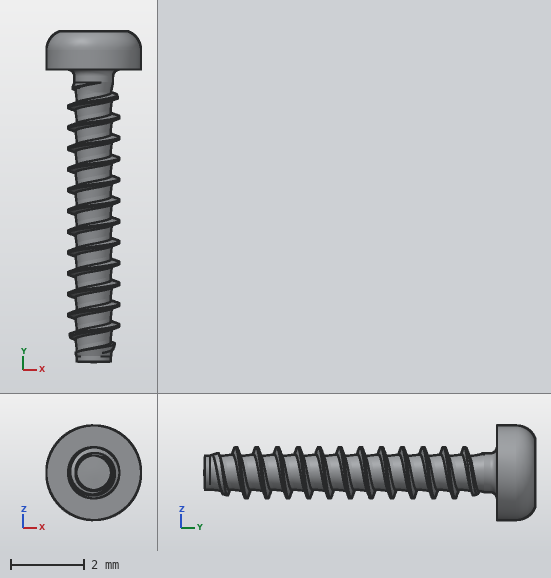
import cadquery as cq
import math


total_length = 9.05

head_radius = 1.299
head_height = 1.05
head_dome_height = 0.525
head_dome_radius = 0.56
rim_rounding = 0.02

neck_radius = 0.53
neck_end = -0.34
neck_fillet = 0.18
core_radius = 0.47
core_start = -0.63
tip_cone_height = 0.02

crest_radius = 0.701
crest_half_width = 0.023
flank_half_width = 0.1
root_radius = 0.502
valley_offset = 0.34
valley_overrun = 0.045
buried_radius = 0.41
runout_radius = 0.52
thread_start = -0.31
thread_end = -7.7
turns = 13
buried_turns = 0.5

tip = head_height - total_length
tip_rim = tip + tip_cone_height
pitch = (thread_start - thread_end) / turns


def revolve_about_axis(outline):
    """Solid of revolution about the screw axis from a closed outline in the XZ plane."""
    return outline.revolve(360, (0, 0, 0), (0, 1, 0))


def make_head_and_neck():
    """Domed head with the filleted neck that tapers down to the core."""
    dome_bottom = head_height - head_dome_height
    dome_half_chord = math.sqrt(head_dome_radius**2 - head_dome_height**2)
    top_radius = head_radius - head_dome_radius + dome_half_chord
    outline = (
        cq.Workplane("XZ")
        .moveTo(0, head_height)
        .lineTo(top_radius, head_height)
        .radiusArc((head_radius, dome_bottom), head_dome_radius)
        .lineTo(head_radius, rim_rounding)
        .radiusArc((head_radius - rim_rounding, 0), rim_rounding)
        .lineTo(neck_radius + neck_fillet, 0)
        .radiusArc((neck_radius, -neck_fillet), -neck_fillet)
        .lineTo(neck_radius, neck_end)
        .lineTo(core_radius, core_start)
        .lineTo(0, core_start)
        .close()
    )
    return revolve_about_axis(outline)


def make_core():
    """Cylindrical core with a very flat cone as its tip."""
    outline = cq.Workplane("XZ").polyline([
        (0, 0),
        (core_radius, 0),
        (core_radius, tip_rim),
        (0, tip),
    ]).close()
    return revolve_about_axis(outline)


def make_ridge():
    """Right-handed helical ridge at full height, swept from the tip end upwards."""
    buried_length = buried_turns * pitch
    helix_height = thread_start - thread_end + 2 * buried_length
    helix_start_angle = -90 - 360 * buried_turns
    helix = cq.Wire.makeHelix(pitch, helix_height, crest_radius)
    flank_slope = (crest_half_width - flank_half_width) / (crest_radius - core_radius)
    buried_half_width = flank_half_width + flank_slope * (buried_radius - core_radius)
    root_half_width = flank_half_width + flank_slope * (root_radius - core_radius)
    root_slope = (root_radius - core_radius) / (valley_offset - root_half_width)
    valley_end = -valley_offset - valley_overrun
    section = cq.Workplane("XZ").polyline([
        (buried_radius, buried_half_width),
        (crest_radius, crest_half_width),
        (crest_radius, -crest_half_width),
        (root_radius, -root_half_width),
        (core_radius - root_slope * valley_overrun, valley_end),
        (buried_radius, valley_end),
    ]).close()
    ridge = section.sweep(cq.Workplane(helix), isFrenet=True)
    ridge = ridge.rotate((0, 0, 0), (0, 0, 1), helix_start_angle)
    return ridge.translate((0, 0, thread_end - buried_length))


def make_thread_envelope():
    """Two cones, base to base, whose ends fade the crest in and out over one pitch each."""
    runout_slope = (crest_radius - runout_radius) / pitch
    middle = (thread_start + thread_end) / 2
    middle_radius = runout_radius + runout_slope * (thread_start - middle)
    head_end = -neck_fillet
    head_end_radius = runout_radius - runout_slope * (head_end - thread_start)
    tip_end_radius = runout_radius - runout_slope * (thread_end - tip_rim)
    outline = cq.Workplane("XZ").polyline([
        (0, head_end),
        (head_end_radius, head_end),
        (middle_radius, middle),
        (tip_end_radius, tip_rim),
        (0, tip_rim),
    ]).close()
    return revolve_about_axis(outline)


thread = make_ridge().intersect(make_thread_envelope())
threaded_core = make_core().union(thread)
screw = threaded_core.union(make_head_and_neck())
result = screw.rotate((0, 0, 0), (1, 0, 0), -90)